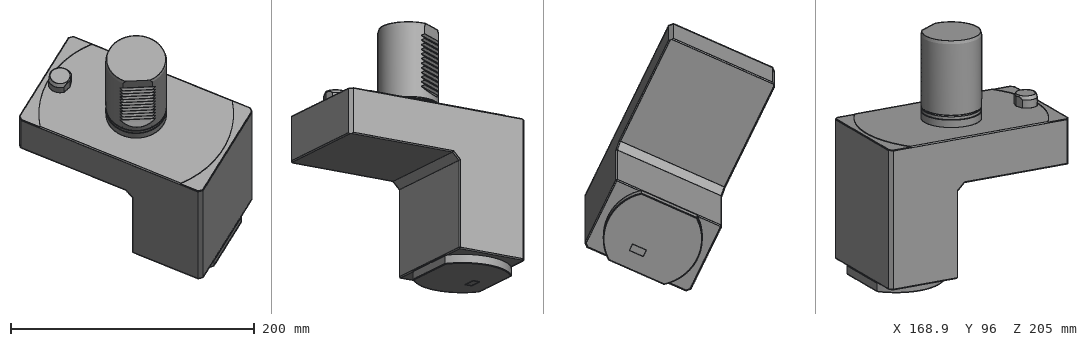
import cadquery as cq
import math


arm_reach = 84.9
leg_reach = 84.0
body_depth = 96.0
arm_thickness = 40.0
leg_width = 64.0
body_height = 122.0
inner_bevel = 6.2
corner_chamfer = 3.0
edge_chamfer = 1.0

seat_radius = 80.0
seat_height = 0.5

seat_overlap = 1.0
shank_diameter = 50.0
shank_length = 75.0
shank_lead_height = 2.9
shank_lead_width = 0.8

groove_bottom = 6.4
groove_top = 10.5
ring_diameter = 49.5
ring_bevel_height = 1.2
ring_bevel_width = 0.8
shoulder_bevel_height = 0.5

flat_offset = 22.0
flat_turn = -60.0
notch_depth = 1.6
notch_half_height = 1.8
notch_count = 12
lowest_notch = 19.9
highest_notch = 63.8

pin_x = -70.0
pin_radius = 10.0
pin_height = 10.0
pin_tip = 9.2
pin_lead_height = 3.0
pin_lead_width = 1.8

cover_diameter = 81.4
cover_edge_chamfer = 0.6
overall_height = 205.0

pad_length_x = 6.2
pad_length_y = 12.5
pad_height = 0.5
pad_x = 66.0
pad_y = 7.0

leg_inner_x = leg_reach - leg_width
shank_radius = shank_diameter / 2
notch_pitch = (highest_notch - lowest_notch) / (notch_count - 1)
clearance = 2.0
cover_bottom = -(overall_height - shank_length - pad_height)


def make_body():
    outline = [
        (-arm_reach, 0),
        (leg_reach, 0),
        (leg_reach, -body_height),
        (leg_inner_x, -body_height),
        (leg_inner_x, -arm_thickness - inner_bevel),
        (leg_inner_x - inner_bevel, -arm_thickness),
        (-arm_reach, -arm_thickness),
    ]
    body = cq.Workplane("XZ").polyline(outline).close().extrude(body_depth / 2, both=True)
    body = body.edges("|Z and (<X or >X)").chamfer(corner_chamfer)

    flank_edges = body.faces("<Y or >Y").edges("not |Z")
    leg_edges = body.edges("|Z").edges(cq.selectors.BoxSelector(
        (leg_inner_x - clearance, -body_depth, -body_height),
        (leg_inner_x + clearance, body_depth, 0),
    ))
    end_edges = body.faces("<X or >X or >Z or <Z").edges("not |Z")
    outer_edges = flank_edges.vals() + leg_edges.vals() + end_edges.vals()
    body = body.newObject(outer_edges).chamfer(edge_chamfer)

    seat_plane = cq.Workplane("XY").workplane(offset=-seat_height)
    seat = seat_plane.circle(seat_radius).extrude(seat_height)
    corner_relief = seat_plane.rect(2 * arm_reach, body_depth).extrude(seat_height).cut(seat)
    return body.cut(corner_relief)


def make_shank():
    ring_radius = ring_diameter / 2
    groove_radius = ring_radius - ring_bevel_width
    profile = [
        (0, -seat_overlap),
        (shank_radius, -seat_overlap),
        (shank_radius, groove_bottom),
        (ring_radius, groove_bottom + shoulder_bevel_height),
        (ring_radius, groove_top - ring_bevel_height),
        (groove_radius, groove_top),
        (shank_radius, groove_top),
        (shank_radius, shank_length - shank_lead_height),
        (shank_radius - shank_lead_width, shank_length),
        (0, shank_length),
    ]
    return cq.Workplane("XZ").polyline(profile).close().revolve(360, (0, 0), (0, 1))


def make_rack_cutter():
    """Everything outside the flat and its notches, with a 45 degree run-out at the lower end."""
    outer = shank_radius + clearance
    root = flat_offset - notch_depth
    run_out_start = lowest_notch - notch_half_height
    outline = [
        (outer, run_out_start - (outer - flat_offset)),
        (flat_offset, run_out_start),
    ]
    for index in range(notch_count):
        root_height = lowest_notch + index * notch_pitch
        if index > 0:
            outline.append((flat_offset, root_height - notch_half_height))
        outline.append((root, root_height))
        outline.append((flat_offset, root_height + notch_half_height))
    outline.append((flat_offset, shank_length + clearance))
    outline.append((outer, shank_length + clearance))
    cutter = cq.Workplane("XZ").polyline(outline).close().extrude(shank_radius, both=True)
    return cutter.rotate((0, 0, 0), (0, 0, 1), flat_turn)


def make_pin():
    round_pin = cq.Workplane("XZ").polyline([
        (0, -seat_overlap),
        (pin_radius, -seat_overlap),
        (pin_radius, pin_height - pin_lead_height),
        (pin_radius - pin_lead_width, pin_height),
        (0, pin_height),
    ]).close().revolve(360, (0, 0), (0, 1))

    facet_end = pin_radius * math.sqrt(0.5)
    v_sides = cq.Workplane("XY").workplane(offset=-seat_overlap).polyline([
        (pin_tip, 0),
        (facet_end, facet_end),
        (facet_end, pin_radius),
        (-facet_end, pin_radius),
        (-facet_end, facet_end),
        (-pin_tip, 0),
        (-facet_end, -facet_end),
        (-facet_end, -pin_radius),
        (facet_end, -pin_radius),
        (facet_end, -facet_end),
    ]).close().extrude(pin_height + seat_overlap)
    return round_pin.intersect(v_sides).translate((pin_x, 0, 0))


def make_cover():
    cover_x = leg_reach - leg_width / 2
    cover_height = -body_height - cover_bottom
    disc = cq.Workplane("XY").circle(cover_diameter / 2).extrude(cover_height)
    trim = cq.Workplane("XY").rect(leg_width, cover_diameter).extrude(cover_height)
    cover = disc.intersect(trim).faces("<Z").chamfer(cover_edge_chamfer)
    return cover.translate((cover_x, 0, cover_bottom))


def make_pad():
    return (
        cq.Workplane("XY").workplane(offset=cover_bottom - pad_height)
        .center(pad_x, pad_y).rect(pad_length_x, pad_length_y).extrude(2 * pad_height)
    )


shank = make_shank().cut(make_rack_cutter())
result = make_body().union(shank).union(make_pin()).union(make_cover()).union(make_pad())